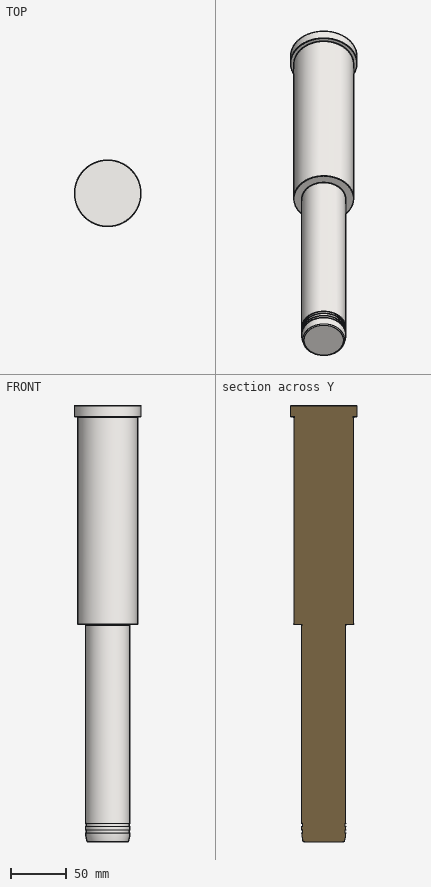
import cadquery as cq

total_height = 391.0
shoulder_height = 194.7
flange_thickness = 10.0

flange_radius = 29.9
sleeve_radius = 27.0
pin_radius = 20.0

tip_radius = 18.5
tip_chamfer = 0.8
lead_in_height = 8.0

edge_chamfer = 0.5

relief_width = 0.8
relief_depth = 0.5

groove_width = 2.7
groove_depth = 0.45
groove_bottoms = (8.2, 14.0)


def cylinder(radius, bottom, top):
    """Solid cylinder on the Z axis between two heights."""
    return cq.Workplane("XY").workplane(offset=bottom).circle(radius).extrude(top - bottom)


def rounded_pin():
    """Pin whose side curves inward, tangent to the shank, towards its tip."""
    inset = pin_radius - tip_radius
    arc_radius = (lead_in_height**2 + inset**2) / (2 * inset)
    return (
        cq.Workplane("XZ")
        .lineTo(tip_radius, 0)
        .radiusArc((pin_radius, lead_in_height), -arc_radius)
        .lineTo(pin_radius, shoulder_height)
        .lineTo(0, shoulder_height)
        .close()
        .revolve(360, (0, 0), (0, 1))
        .faces("<Z")
        .chamfer(tip_chamfer)
    )


def ring_cut(radius, depth, bottom, width):
    """Ring of material to remove from a cylindrical surface."""
    top = bottom + width
    core = cylinder(radius - depth, bottom, top)
    return cylinder(radius, bottom, top).cut(core)


flange_bottom = total_height - flange_thickness
flange = cylinder(flange_radius, flange_bottom, total_height).edges().chamfer(edge_chamfer)

sleeve = cylinder(sleeve_radius, shoulder_height, flange_bottom).faces("<Z").chamfer(edge_chamfer)
sleeve = sleeve.cut(ring_cut(sleeve_radius, relief_depth, flange_bottom - relief_width, relief_width))

pin = rounded_pin()
for groove_bottom in groove_bottoms:
    pin = pin.cut(ring_cut(pin_radius, groove_depth, groove_bottom, groove_width))
pin = pin.cut(ring_cut(pin_radius, relief_depth, shoulder_height - relief_width, relief_width))

result = pin.union(sleeve).union(flange)